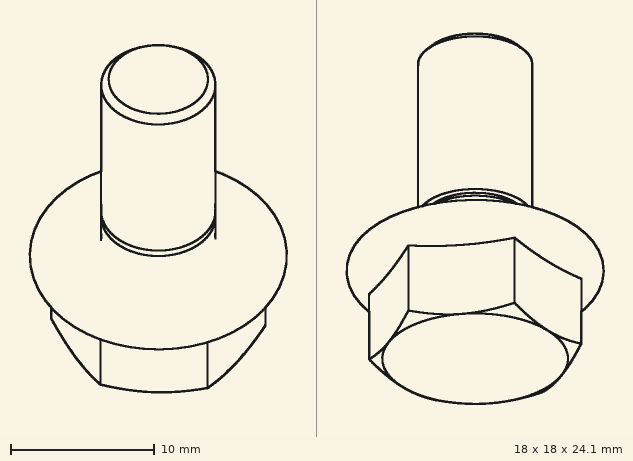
import cadquery as cq
import math

total_length = 24.1
flange_diameter = 17.98
flange_top = 8.15
rim_radius = 1.1
flange_slope = 15.0
across_flats = 13.0
head_chamfer_angle = 30.0
shank_diameter = 8.0
neck_fillet = 0.39
shank_chamfer = 0.53
thread_start = 11.35

flat_radius = across_flats / 2
corner_radius = flat_radius / math.cos(math.radians(30))
shank_radius = shank_diameter / 2


def make_head():
    """Hexagon with corners on Y, chamfered by a cone that meets the flats at the base."""
    height = flange_top - rim_radius
    hexagon = (
        cq.Workplane("XY")
        .polygon(6, 2 * corner_radius)
        .extrude(height)
        .rotate((0, 0, 0), (0, 0, 1), 30)
    )
    cone_radius = flat_radius + height / math.tan(math.radians(head_chamfer_angle))
    cone = (
        cq.Workplane("XZ")
        .polyline([(0, 0), (flat_radius, 0), (cone_radius, height), (0, height)])
        .close()
        .revolve(360, (0, 0, 0), (0, 1, 0))
    )
    return hexagon.intersect(cone)


def make_flange():
    """Flat-topped disc with a round rim running tangent into the conical underside."""
    slope = math.radians(flange_slope)
    rim_center_r = flange_diameter / 2 - rim_radius
    rim_center_z = flange_top - rim_radius
    tangent_r = rim_center_r + rim_radius * math.sin(slope)
    tangent_z = rim_center_z - rim_radius * math.cos(slope)
    return (
        cq.Workplane("XZ")
        .moveTo(0, flange_top)
        .lineTo(rim_center_r, flange_top)
        .threePointArc((flange_diameter / 2, rim_center_z), (tangent_r, tangent_z))
        .lineTo(0, tangent_z - tangent_r * math.tan(slope))
        .close()
        .revolve(360, (0, 0, 0), (0, 1, 0))
    )


def make_shank():
    """Neck with a concave root fillet and chamfered end, then the chamfered thread body."""
    small_radius = shank_radius - shank_chamfer
    fillet_offset = neck_fillet * (1 - math.sqrt(0.5))
    return (
        cq.Workplane("XZ")
        .moveTo(0, flange_top)
        .lineTo(shank_radius + neck_fillet, flange_top)
        .threePointArc(
            (shank_radius + fillet_offset, flange_top + fillet_offset),
            (shank_radius, flange_top + neck_fillet),
        )
        .lineTo(shank_radius, thread_start - shank_chamfer)
        .lineTo(small_radius, thread_start)
        .lineTo(shank_radius, thread_start)
        .lineTo(shank_radius, total_length - shank_chamfer)
        .lineTo(small_radius, total_length)
        .lineTo(0, total_length)
        .close()
        .revolve(360, (0, 0, 0), (0, 1, 0))
    )


result = make_head().union(make_flange()).union(make_shank())